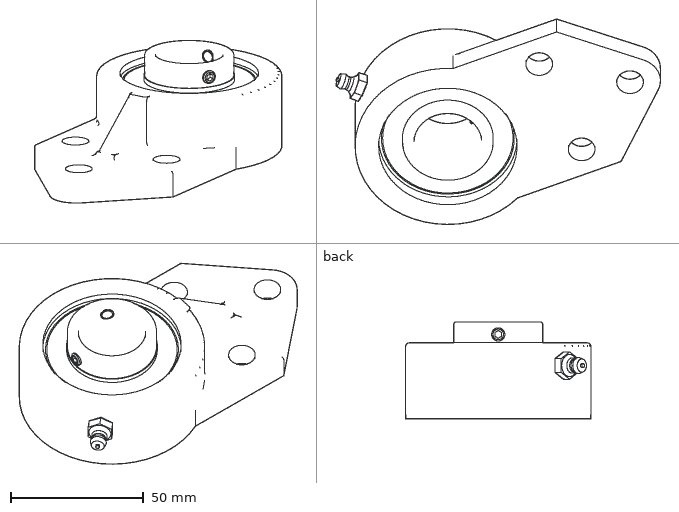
import cadquery as cq
import math


housing_diameter = 69.9
housing_radius = housing_diameter / 2
housing_height = 28.7
overall_length = 121.0
edge_round = 1.5
root_fillet = 1.3

selection_margin = 0.1

plate_half_width = 31.5
plate_thickness = 10.0
plate_corner_y = -57.6
tip_radius = 10.0
tip_center_y = housing_radius - overall_length + tip_radius
mount_hole_diameter = 10.0
side_hole_x = 20.7
side_hole_y = -46.0
end_hole_y = -74.4

rib_width = 8.1
rib_foot_y = -57.7

bearing_center_z = 15.8
seat_diameter = 56.1
seat_radius = seat_diameter / 2
opening_diameter = 52.1
opening_radius = opening_diameter / 2
ring_half_height = math.sqrt(seat_radius**2 - opening_radius**2)

ring_bore_radius = 24.5
ring_ledge_radius = 25.0
ring_ledge_offset = 10.0

shaft_diameter = 25.4
shaft_radius = shaft_diameter / 2
inner_ring_radius = 34.2 / 2
collar_radius = 33.6 / 2
inner_ring_bottom = 2.4
collar_bottom = 27.8
inner_ring_top = 36.5
inner_ring_round = 1.0

seal_rim_radius = 45.7 / 2
seal_rise = 0.1
seal_thickness = 1.5

screw_angles = (90.0, -30.0)
screw_radius = 5.0 / 2
screw_z = 31.8
screw_outer_reach = 17.8
screw_tip_reach = 12.6
screw_chamfer = 0.5
socket_width = 2.5
socket_depth = 2.4

nipple_angle = 135.0
nipple_z = 20.1
nipple_hex_width = 9.0
nipple_seat = 34.6
nipple_shank_radius = 6.0 / 2
nipple_shank_end = 29.6
nipple_hex_end = 38.0
nipple_flare_radius = 8.3 / 2
nipple_flare_end = 39.4
nipple_collar_radius = 5.8 / 2
nipple_neck_start = 40.5
nipple_neck_end = 41.3
nipple_neck_radius = 5.0 / 2
nipple_head = 42.7
nipple_head_radius = 6.0 / 2
nipple_nose = 44.5
nipple_nose_radius = 5.0 / 2
nipple_tip = 45.2
nipple_tip_radius = 1.5 / 2


def hexagon_across_corners(width):
    """Diameter through the corners of a hexagon of the given width across flats."""
    return width / math.cos(math.pi / 6)


def radial_plane(angle, height):
    """Plane on the bearing axis whose normal points outward at the angle and whose X is up."""
    direction = (math.cos(math.radians(angle)), math.sin(math.radians(angle)), 0)
    return cq.Plane(origin=(0, 0, height), xDir=(0, 0, 1), normal=direction)


def make_plate():
    """Five-sided foot plate with a round tip tangent to its two slanted sides."""
    corner_drop = plate_corner_y - tip_center_y
    corner_distance = math.hypot(plate_half_width, corner_drop)
    tangent_angle = math.atan2(corner_drop, plate_half_width) - math.acos(tip_radius / corner_distance)
    tangent_x = tip_radius * math.cos(tangent_angle)
    tangent_y = tip_center_y + tip_radius * math.sin(tangent_angle)
    return (
        cq.Workplane("XY")
        .moveTo(-plate_half_width, 0)
        .lineTo(-plate_half_width, plate_corner_y)
        .lineTo(-tangent_x, tangent_y)
        .threePointArc((0, tip_center_y - tip_radius), (tangent_x, tangent_y))
        .lineTo(plate_half_width, plate_corner_y)
        .lineTo(plate_half_width, 0)
        .close()
        .extrude(plate_thickness)
    )


def make_rib():
    """Triangular rib from the top of the housing down to the plate, with sharp edges."""
    return (
        cq.Workplane("YZ")
        .moveTo(-opening_radius, 0)
        .lineTo(rib_foot_y, 0)
        .lineTo(rib_foot_y, plate_thickness)
        .lineTo(-housing_radius, housing_height)
        .lineTo(-opening_radius, housing_height)
        .close()
        .extrude(rib_width / 2, both=True)
    )


def make_rib_corners():
    """Slivers to remove along the sloping edges of the rib; they stop above the root fillet."""
    rib = make_rib()
    slope_edges = cq.selectors.BoxSelector(
        (-rib_width, rib_foot_y + selection_margin, plate_thickness + selection_margin),
        (rib_width, -housing_radius - selection_margin, housing_height - selection_margin),
    )
    corners = rib.cut(rib.edges(slope_edges).fillet(edge_round))
    above_root = (
        cq.Workplane("XY", origin=(0, 0, plate_thickness + root_fillet))
        .rect(rib_width, 2 * overall_length)
        .extrude(housing_height)
    )
    return corners.intersect(above_root)


def make_casting():
    """Drum, plate and rib as one piece, with its edges and inside corners rounded."""
    drum = cq.Workplane("XY").circle(housing_radius).extrude(housing_height)
    drum = drum.faces(">Z").edges().fillet(edge_round)
    casting = drum.union(make_plate()).union(make_rib())
    plate_top_edges = cq.selectors.BoxSelector(
        (-housing_radius, -overall_length, plate_thickness - selection_margin),
        (housing_radius, 0, plate_thickness + selection_margin),
        boundingbox=True,
    )
    casting = casting.edges(plate_top_edges).fillet(root_fillet)
    return casting.cut(make_rib_corners())


def make_seat():
    """Space that the bearing takes up inside the housing."""
    opening = cq.Workplane("XY").circle(opening_radius).extrude(housing_height)
    socket = cq.Workplane("XY", origin=(0, 0, bearing_center_z)).sphere(seat_radius)
    housing_span = cq.Workplane("XY").circle(housing_radius).extrude(housing_height)
    return opening.union(socket.intersect(housing_span))


def make_mount_holes():
    """Cylinders that cut two holes beside the rib and one near the tip of the plate."""
    centers = [(-side_hole_x, side_hole_y), (side_hole_x, side_hole_y), (0, end_hole_y)]
    return cq.Workplane("XY").pushPoints(centers).circle(mount_hole_diameter / 2).extrude(plate_thickness)


def make_grease_nipple():
    """Hexagonal grease nipple with a plain shank that sits in the wall of the housing."""
    head = (
        cq.Workplane("XZ")
        .moveTo(0, nipple_shank_end)
        .lineTo(nipple_shank_radius, nipple_shank_end)
        .lineTo(nipple_shank_radius, nipple_hex_end)
        .lineTo(nipple_flare_radius, nipple_hex_end)
        .lineTo(nipple_collar_radius, nipple_flare_end)
        .lineTo(nipple_neck_radius, nipple_neck_start)
        .lineTo(nipple_neck_radius, nipple_neck_end)
        .lineTo(nipple_head_radius, nipple_head)
        .lineTo(nipple_nose_radius, nipple_nose)
        .lineTo(nipple_tip_radius, nipple_nose)
        .lineTo(nipple_tip_radius, nipple_tip)
        .lineTo(0, nipple_tip)
        .close()
        .revolve(360, (0, 0, 0), (0, 1, 0))
    )
    axis = radial_plane(nipple_angle, nipple_z)
    hexagon = (
        cq.Workplane(axis)
        .workplane(offset=nipple_seat)
        .polygon(6, hexagon_across_corners(nipple_hex_width))
        .extrude(nipple_hex_end - nipple_seat)
    )
    placed_head = cq.Workplane(head.val().moved(cq.Location(axis)))
    return placed_head.union(hexagon)


def make_housing(nipple):
    """Casting with the bearing seat, the mounting holes and a hole that fits the nipple."""
    return make_casting().cut(make_seat()).cut(make_mount_holes()).cut(nipple)


def make_outer_ring():
    """Ring with a spherical outside, a plain bore and a flared recess at both faces."""
    return (
        cq.Workplane("XZ", origin=(0, 0, bearing_center_z))
        .moveTo(ring_bore_radius, -ring_ledge_offset)
        .lineTo(ring_ledge_radius, -ring_ledge_offset)
        .lineTo(opening_radius, -ring_half_height)
        .threePointArc((seat_radius, 0), (opening_radius, ring_half_height))
        .lineTo(ring_ledge_radius, ring_ledge_offset)
        .lineTo(ring_bore_radius, ring_ledge_offset)
        .close()
        .revolve(360, (0, 0, 0), (0, 1, 0))
    )


def make_inner_ring():
    """Sleeve with a slightly narrower collar on top, drilled for the set screws."""
    sleeve = (
        cq.Workplane("XY", origin=(0, 0, inner_ring_bottom))
        .circle(inner_ring_radius)
        .extrude(collar_bottom - inner_ring_bottom)
    )
    collar = (
        cq.Workplane("XY", origin=(0, 0, collar_bottom))
        .circle(collar_radius)
        .extrude(inner_ring_top - collar_bottom)
    )
    ring = sleeve.union(collar).faces("<Z").workplane().circle(shaft_radius).cutThruAll()
    ring = ring.faces("<Z or >Z").edges().fillet(inner_ring_round)
    for angle in screw_angles:
        hole = (
            cq.Workplane(radial_plane(angle, screw_z))
            .circle(screw_radius)
            .extrude(screw_outer_reach)
        )
        ring = ring.cut(hole)
    return ring


def make_seal(side):
    """Thin seal between the rings, sloping up to the inner ring; side is 1 above, -1 below."""
    rim_height = side * ring_ledge_offset
    crown_height = rim_height + side * seal_rise
    back_height = rim_height - side * seal_thickness
    return (
        cq.Workplane("XZ", origin=(0, 0, bearing_center_z))
        .moveTo(inner_ring_radius, back_height)
        .lineTo(ring_bore_radius, back_height)
        .lineTo(ring_bore_radius, rim_height)
        .lineTo(seal_rim_radius, rim_height)
        .lineTo(inner_ring_radius, crown_height)
        .close()
        .revolve(360, (0, 0, 0), (0, 1, 0))
    )


def make_set_screw(angle):
    """Socket set screw whose chamfered tip is level with the bore of the inner ring."""
    screw = (
        cq.Workplane(radial_plane(angle, screw_z))
        .workplane(offset=screw_tip_reach)
        .circle(screw_radius)
        .extrude(screw_outer_reach - screw_tip_reach)
        .edges()
        .chamfer(screw_chamfer)
    )
    socket = (
        cq.Workplane(radial_plane(angle, screw_z))
        .workplane(offset=screw_outer_reach - socket_depth)
        .polygon(6, hexagon_across_corners(socket_width))
        .extrude(socket_depth)
    )
    return screw.cut(socket)


grease_nipple = make_grease_nipple()
housing = make_housing(grease_nipple)
outer_ring = make_outer_ring()
set_screws = [make_set_screw(angle) for angle in screw_angles]
inner_ring = make_inner_ring()
seals = [make_seal(side) for side in (1, -1)]

result = cq.Compound.makeCompound([
    housing.val(),
    outer_ring.val(),
    inner_ring.val(),
    *[seal.val() for seal in seals],
    *[screw.val() for screw in set_screws],
    grease_nipple.val(),
])